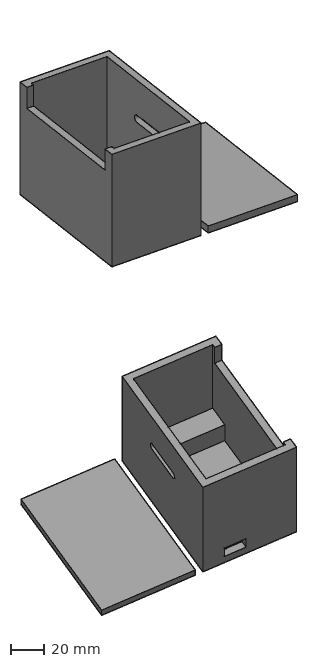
import cadquery as cq

LENGTH = 100.0
WIDTH = 65.0
WALL = 5.0
TOTAL_DEPTH = 135.0

BOX_HEIGHT = 80.0
INNER_LENGTH = LENGTH - 2 * WALL
INNER_WIDTH = WIDTH - 2 * WALL

LEDGE_LENGTH = 15.0
LEDGE_TOP = 20.0

NOTCH_LENGTH = 85.0
NOTCH_DEPTH = 15.0

PORT_WIDTH = 15.0
PORT_HEIGHT = 8.0
PORT_Y = 35.0
PORT_BOTTOM = 6.0

SLOT_LENGTH = 30.0
SLOT_HEIGHT = 5.0
SLOT_Z = 52.5


def block(length, width, height, x, y, z):
    """Rectangular block with its lowest corner at (x, y, z)."""
    return cq.Workplane("XY").box(length, width, height, centered=False).translate((x, y, z))


def make_box():
    shell = block(LENGTH, WIDTH, BOX_HEIGHT, 0, 0, 0)
    cavity = block(INNER_LENGTH, INNER_WIDTH, BOX_HEIGHT - WALL, WALL, WALL, WALL)
    ledge_x = LENGTH - WALL - LEDGE_LENGTH
    ledge = block(LEDGE_LENGTH, INNER_WIDTH, LEDGE_TOP - WALL, ledge_x, WALL, WALL)
    notch_x = (LENGTH - NOTCH_LENGTH) / 2
    notch = block(NOTCH_LENGTH, WALL, NOTCH_DEPTH, notch_x, 0, BOX_HEIGHT - NOTCH_DEPTH)
    port = block(WALL, PORT_WIDTH, PORT_HEIGHT, 0, PORT_Y, PORT_BOTTOM)
    slot = (
        cq.Workplane("XZ", origin=(LENGTH / 2, WIDTH, SLOT_Z))
        .slot2D(SLOT_LENGTH, SLOT_HEIGHT)
        .extrude(WALL)
    )
    return shell.cut(cavity.cut(ledge)).cut(notch).cut(port).cut(slot)


def make_lid():
    """Flat plate lying behind the box, level with its underside."""
    return block(LENGTH, WIDTH, WALL, 0, TOTAL_DEPTH - WIDTH, 0)


box = make_box()
lid = make_lid()
result = cq.Compound.makeCompound([box.val(), lid.val()])